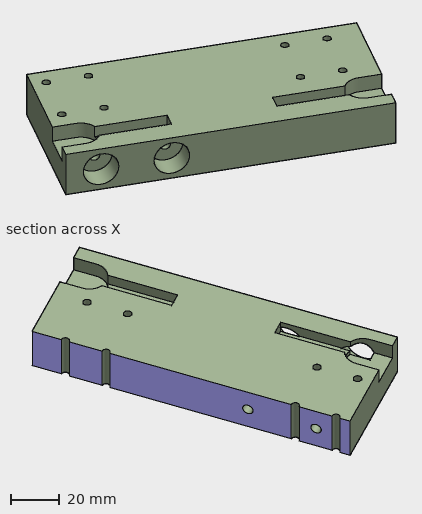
import cadquery as cq

WIDTH = 60.0
LENGTH = 140.0
HEIGHT = 20.0

POCKET_DIAMETER = 15.0
POCKET_DEPTH = 7.0
POCKET_CENTER_FROM_END = 10.0
FRONT_POCKET_X = 47.0
BACK_POCKET_X = 46.0
SLOT_WIDTH = 6.5
SLOT_DEPTH = 5.0
SLOT_END_FROM_END = 47.5

SCREW_DIAMETER = 3.4
SCREW_PITCH_X = 23.9
SCREW_PITCH_Y = 17.9
SCREW_GROUP_X = 19.65
SCREW_GROUPS_Y = (15.15, 116.35)

CROSS_DIAMETER = 4.4
CROSS_HOLES_Y = (15.0, 45.0)
CROSS_Z = HEIGHT / 2
COUNTERBORE_DIAMETER = 15.0
COUNTERBORE_DEPTH = 10.0


def end_pocket(center_x):
    """Cutter for the pocket and slot entering from the Y = 0 end."""
    pocket_bottom = HEIGHT - POCKET_DEPTH
    channel = cq.Workplane("XY").box(
        POCKET_DIAMETER, POCKET_CENTER_FROM_END, POCKET_DEPTH, centered=(True, False, False)
    )
    round_end = (
        cq.Workplane("XY")
        .center(0, POCKET_CENTER_FROM_END)
        .circle(POCKET_DIAMETER / 2)
        .extrude(POCKET_DEPTH)
    )
    slot_length = SLOT_END_FROM_END - POCKET_CENTER_FROM_END
    slot = (
        cq.Workplane("XY")
        .box(SLOT_WIDTH, slot_length, SLOT_DEPTH, centered=(True, False, False))
        .translate((0, POCKET_CENTER_FROM_END, POCKET_DEPTH - SLOT_DEPTH))
    )
    return channel.union(round_end).union(slot).translate((center_x, 0, pocket_bottom))


def screw_holes(group_y):
    """Cutter for a group of four vertical through holes."""
    return (
        cq.Workplane("XY")
        .center(SCREW_GROUP_X, group_y)
        .rarray(SCREW_PITCH_X, SCREW_PITCH_Y, 2, 2)
        .circle(SCREW_DIAMETER / 2)
        .extrude(HEIGHT)
    )


def cross_hole(hole_y):
    """Cutter for one through hole along X with its counterbore at the +X side."""
    hole = cq.Workplane("YZ").center(hole_y, CROSS_Z).circle(CROSS_DIAMETER / 2).extrude(WIDTH)
    counterbore = (
        cq.Workplane("YZ", origin=(WIDTH - COUNTERBORE_DEPTH, 0, 0))
        .center(hole_y, CROSS_Z)
        .circle(COUNTERBORE_DIAMETER / 2)
        .extrude(COUNTERBORE_DEPTH)
    )
    return hole.union(counterbore)


block = cq.Workplane("XY").box(WIDTH, LENGTH, HEIGHT, centered=False)

front_pocket = end_pocket(FRONT_POCKET_X)
back_pocket = end_pocket(BACK_POCKET_X).mirror("XZ").translate((0, LENGTH, 0))
result = block.cut(front_pocket).cut(back_pocket)

for group_y in SCREW_GROUPS_Y:
    result = result.cut(screw_holes(group_y))

for hole_y in CROSS_HOLES_Y:
    result = result.cut(cross_hole(hole_y))